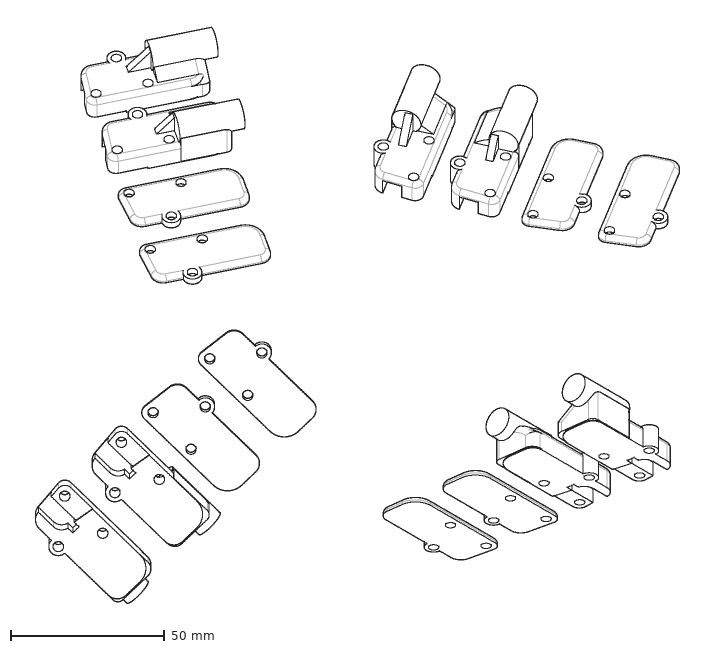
import cadquery as cq
import math

shell_width = 17.1
shell_rear_y = 41.3
front_wide_y = 1.4
front_narrow_y = -0.3
lug_front_radius = 4.2
lug_rear_radius = 4.0
hole_front_radius = 2.8
hole_rear_radius = 6.6
edge_fillet = 1.7
housing_height = 8.1
cover_height = 2.5

lug_radius = 3.1
lug_x = 0.1
lug_y = 14.0
screw_diameter = 3.4
screw_hole_x = 13.6
screw_hole_ys = (3.4, 21.0)

barrel_radius = 5.0
barrel_top_z = 16.7
barrel_axis_z = barrel_top_z - barrel_radius
barrel_front_y = 23.6
barrel_rear_y = 45.7
saddle_overhang = 0.1
saddle_width = shell_width + saddle_overhang
saddle_front_y = 24.0
saddle_rear_y = 41.7
saddle_bottom_z = 0.3
saddle_top_z = 11.3
ramp_top_x = 9.6
ramp_foot_z = 6.1
barrel_side_radius = 2.2
ramp_side_radius = 3.3

front_slant = math.atan((front_wide_y - front_narrow_y) / shell_width)
slot_left_x = lug_front_radius * (1 - math.sin(front_slant))
slot_right_x = 10.4
slot_height = 5.7
slot_arc_radius = 3.8
slot_arc_y = 8.0
notch_left_x = 6.8
notch_right_x = 9.7
notch_rear_y = 14.0
relief_height = 0.6
relief_slope = 0.15

part_length = 99.8
body_pitch = 26.0
lug_reach = lug_radius - lug_x
housing_xs = (lug_reach, lug_reach + body_pitch)
last_cover_x = part_length - lug_reach
cover_xs = (last_cover_x - body_pitch, last_cover_x)


def mirror_x(body):
    return body.mirror("YZ")


def shell(height):
    """Rounded plate with its lug side on x = 0, one lug and no holes."""
    corners = [
        (0, front_wide_y, lug_front_radius),
        (shell_width, front_narrow_y, hole_front_radius),
        (shell_width, shell_rear_y, hole_rear_radius),
        (0, shell_rear_y, lug_rear_radius),
    ]
    body = cq.Workplane("XY").polyline([(x, y) for x, y, _ in corners]).close().extrude(height)
    for x, y, radius in corners:
        corner_edge = cq.selectors.NearestToPointSelector((x, y, height / 2))
        body = body.edges(corner_edge).fillet(radius)
    body = body.faces(">Z").edges().fillet(edge_fillet)
    lug = cq.Workplane("XY").center(lug_x, lug_y).circle(lug_radius).extrude(height)
    return body.union(lug)


def screw_holes(height):
    points = [(lug_x, lug_y)] + [(screw_hole_x, y) for y in screw_hole_ys]
    return cq.Workplane("XY").pushPoints(points).circle(screw_diameter / 2).extrude(height)


def barrel(axis_x):
    length = barrel_rear_y - barrel_front_y
    plane = cq.Workplane("XZ", origin=(axis_x, barrel_rear_y, barrel_axis_z))
    return plane.circle(barrel_radius).extrude(length)


def saddle(rear_fillet, ramp_bulge):
    """Block with its barrel side just outside x = 0 and a ramp falling towards the other side."""
    length = saddle_rear_y - saddle_front_y
    footprint = (
        cq.Workplane("XY", origin=(-saddle_overhang, saddle_front_y, saddle_bottom_z))
        .rect(saddle_width, length, centered=False)
        .extrude(barrel_top_z - saddle_bottom_z)
        .edges("|Z and >Y and <X")
        .fillet(barrel_side_radius)
        .edges("|Z and >Y and >X")
        .fillet(ramp_side_radius)
    )
    profile = (
        cq.Workplane("XZ", origin=(0, saddle_rear_y, 0))
        .moveTo(-saddle_overhang, 0)
        .lineTo(shell_width, 0)
        .lineTo(shell_width, ramp_foot_z)
    )
    if ramp_bulge:
        profile = profile.sagittaArc((ramp_top_x, saddle_top_z), -ramp_bulge)
    else:
        profile = profile.lineTo(ramp_top_x, saddle_top_z)
    ridge = profile.lineTo(-saddle_overhang, saddle_top_z).close().extrude(length)
    rear_top_edges = cq.selectors.BoxSelector(
        (-1, saddle_rear_y - 0.1, ramp_foot_z + 0.1),
        (shell_width + 1, saddle_rear_y + 0.1, saddle_top_z + 0.1),
    )
    ridge = ridge.edges(rear_top_edges).fillet(rear_fillet)
    return footprint.intersect(ridge)


def rib(left_x, width, top_z):
    """Triangular rib falling at 45 degrees from the barrel to the top of the shell."""
    rise = top_z - housing_height
    profile = [
        (saddle_front_y, housing_height),
        (saddle_front_y - rise, housing_height),
        (saddle_front_y, top_z),
    ]
    return cq.Workplane("YZ", origin=(left_x, 0, 0)).polyline(profile).close().extrude(width)


def pocket():
    """Slot from the front, ending in an arc and a notch, with a shallow relief beside it."""
    front_y = front_narrow_y - 1
    arc_x = slot_left_x + slot_arc_radius
    arc_end_y = slot_arc_y + math.sqrt(slot_arc_radius**2 - (arc_x - notch_left_x) ** 2)
    arc_half = math.acos((arc_x - notch_left_x) / slot_arc_radius) / 2
    arc_mid = (
        arc_x - slot_arc_radius * math.cos(arc_half),
        slot_arc_y + slot_arc_radius * math.sin(arc_half),
    )

    def relief_rear_y(x):
        return arc_end_y + relief_slope * (x - notch_right_x)

    slot = (
        cq.Workplane("XY")
        .moveTo(slot_left_x, front_y)
        .lineTo(slot_left_x, slot_arc_y)
        .threePointArc(arc_mid, (notch_left_x, arc_end_y))
        .lineTo(notch_left_x, notch_rear_y)
        .lineTo(notch_right_x, notch_rear_y)
        .lineTo(notch_right_x, arc_end_y)
        .lineTo(slot_right_x, relief_rear_y(slot_right_x))
        .lineTo(slot_right_x, front_y)
        .close()
        .extrude(slot_height)
    )
    relief_points = [
        (slot_right_x, front_y),
        (shell_width, front_y),
        (shell_width, relief_rear_y(shell_width)),
        (slot_right_x, relief_rear_y(slot_right_x)),
    ]
    relief = cq.Workplane("XY").polyline(relief_points).close().extrude(relief_height)
    return slot.union(relief)


def housing(barrel_on_lug_side, grip_saddle, grip_rib):
    grip = grip_saddle.union(barrel(barrel_radius))
    if not barrel_on_lug_side:
        grip = mirror_x(grip).translate((shell_width, 0, 0))
    body = shell(housing_height).union(grip).union(grip_rib)
    return body.cut(pocket()).cut(screw_holes(housing_height))


def cover():
    """Plate that closes a housing, so its outline is the mirrored shell."""
    return mirror_x(shell(cover_height).cut(screw_holes(cover_height)))


left_housing = housing(True, saddle(3.8, 0), rib(left_x=4.6, width=2.7, top_z=16.1))
right_housing = housing(False, saddle(3.3, 0.6), rib(left_x=7.8, width=2.5, top_z=14.6))
housings = [
    body.translate((x, 0, 0)) for body, x in zip((left_housing, right_housing), housing_xs)
]
covers = [cover().translate((x, 0, 0)) for x in cover_xs]

result = cq.Compound.makeCompound([body.val() for body in housings + covers])